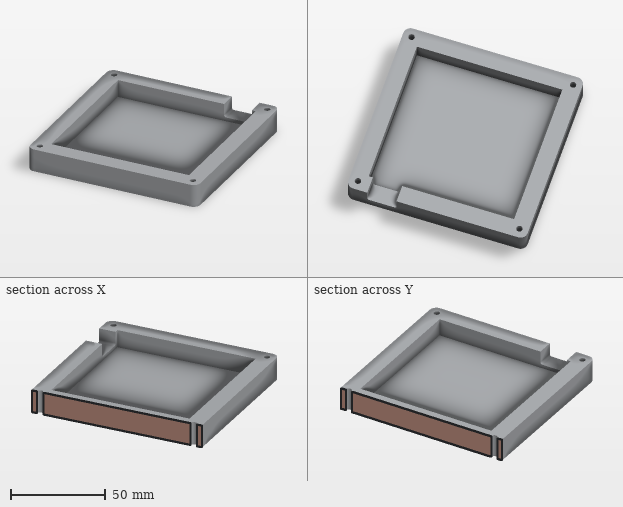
import cadquery as cq

LENGTH_X = 100.0
LENGTH_Y = 100.2
HEIGHT = 13.0
CORNER_RADIUS = 4.0

POCKET_SIDE = 81.1
FLOOR_THICKNESS = 3.0

HOLE_DIAMETER = 3.4
HOLE_SPACING = 90.1

SLOT_LEFT = 21.8
SLOT_RIGHT = 38.2
SLOT_DEPTH = 7.8
SLOT_FILLET = 1.2


def make_block():
    """Block standing on Z = 0 with rounded vertical corners."""
    block = cq.Workplane("XY").box(LENGTH_X, LENGTH_Y, HEIGHT, centered=(True, True, False))
    return block.edges("|Z").fillet(CORNER_RADIUS)


def make_pocket():
    """Square volume removed above the floor."""
    depth = HEIGHT - FLOOR_THICKNESS
    return cq.Workplane("XY").workplane(offset=FLOOR_THICKNESS).rect(POCKET_SIDE, POCKET_SIDE).extrude(depth)


def make_screw_holes():
    """Four through holes, one near each corner."""
    centres = cq.Workplane("XY").rect(HOLE_SPACING, HOLE_SPACING, forConstruction=True).vertices()
    return centres.circle(HOLE_DIAMETER / 2).extrude(HEIGHT)


def make_cable_slot():
    """Slot from the pocket out through the +Y wall, rounded along its two bottom edges."""
    inner_face = POCKET_SIDE / 2
    wall_thickness = LENGTH_Y / 2 - inner_face
    slot = cq.Workplane("XY").box(SLOT_RIGHT - SLOT_LEFT, wall_thickness, SLOT_DEPTH, centered=False)
    slot = slot.edges("|Y and <Z").fillet(SLOT_FILLET)
    return slot.translate((SLOT_LEFT, inner_face, HEIGHT - SLOT_DEPTH))


result = make_block().cut(make_pocket()).cut(make_screw_holes()).cut(make_cable_slot())